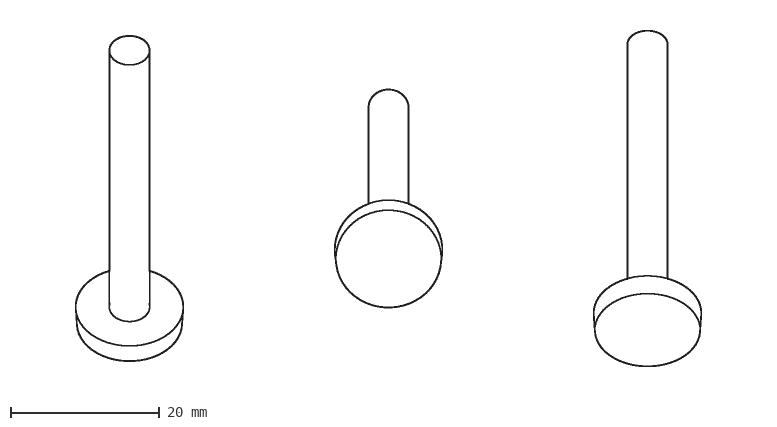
import cadquery as cq
import math

total_length = 54.4
shank_length = 50.0
shank_diameter = 5.45
head_top_diameter = 14.5
head_bottom_diameter = 14.2
dome_height = 1.25
dome_flat_diameter = 5.75

shank_radius = shank_diameter / 2
head_top_radius = head_top_diameter / 2
head_bottom_radius = head_bottom_diameter / 2
dome_flat_radius = dome_flat_diameter / 2

dome_bottom = shank_length - total_length
rim_bottom = dome_bottom + dome_height

center_rise = (head_bottom_radius**2 - dome_flat_radius**2 - dome_height**2) / (2 * dome_height)
dome_radius = math.hypot(head_bottom_radius, center_rise)
dome_mid_radius = (head_bottom_radius + dome_flat_radius) / 2
dome_mid_height = rim_bottom + center_rise - math.sqrt(dome_radius**2 - dome_mid_radius**2)

half_section = (
    cq.Workplane("XZ")
    .moveTo(0, dome_bottom)
    .lineTo(dome_flat_radius, dome_bottom)
    .threePointArc((dome_mid_radius, dome_mid_height), (head_bottom_radius, rim_bottom))
    .lineTo(head_top_radius, 0)
    .lineTo(shank_radius, 0)
    .lineTo(shank_radius, shank_length)
    .lineTo(0, shank_length)
    .close()
)

result = half_section.revolve(360, (0, 0, 0), (0, 1, 0))